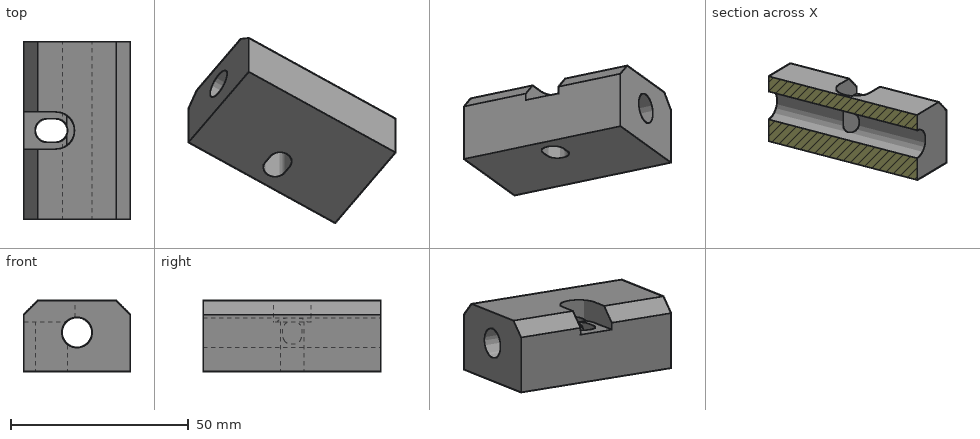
import cadquery as cq

width = 30
length = 50
height = 20
chamfer = 4

bore_diameter = 8.4
bore_height = 11

pocket_width = 10.4
pocket_reach = 14.3
pocket_depth = 6

slot_start = 3.3
slot_length = 9
slot_width = 6.5

left_side = -width / 2


def make_block():
    block = cq.Workplane("XY").box(width, length, height, centered=(True, True, False))
    return block.faces(">Z").edges("|Y").chamfer(chamfer)


def make_bore():
    return (
        cq.Workplane("XZ", origin=(0, length / 2, bore_height))
        .circle(bore_diameter / 2)
        .extrude(length)
    )


def make_pocket():
    radius = pocket_width / 2
    round_end = left_side + pocket_reach
    arc_centre = round_end - radius
    return (
        cq.Workplane("XY", origin=(0, 0, height - pocket_depth))
        .moveTo(left_side, -radius)
        .lineTo(arc_centre, -radius)
        .threePointArc((round_end, 0), (arc_centre, radius))
        .lineTo(left_side, radius)
        .close()
        .extrude(pocket_depth)
    )


def make_slot():
    slot_centre = left_side + slot_start + slot_length / 2
    return (
        cq.Workplane("XY")
        .center(slot_centre, 0)
        .slot2D(slot_length, slot_width)
        .extrude(height)
    )


result = make_block().cut(make_bore()).cut(make_pocket()).cut(make_slot())